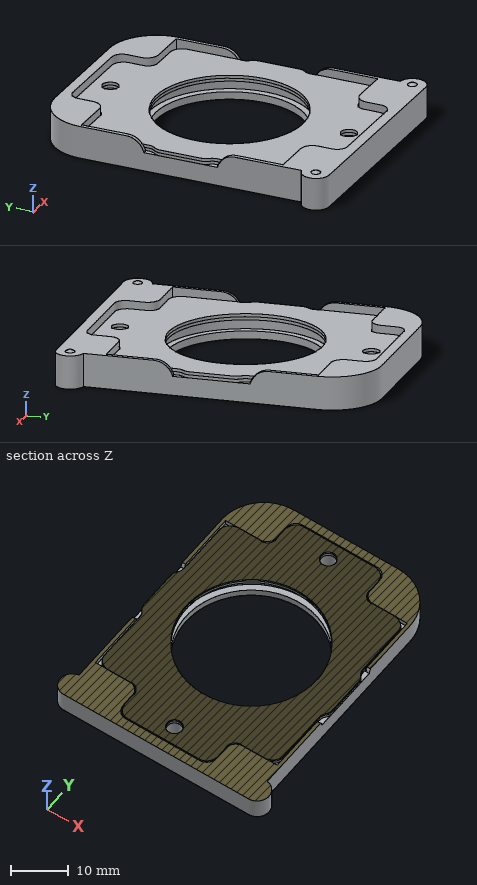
import cadquery as cq
import math

housing_width = 40.25
housing_height = 6.1
housing_length = 56.45
rear_edge_y = 28.15
front_edge_y = rear_edge_y - housing_length
rear_corner_radius = 9.0

overall_width = 44.6
lug_length = 5.15
lug_radius = 2.55
lug_x = overall_width / 2 - lug_radius
lug_y = front_edge_y + lug_length / 2
stud_radius = 0.85
stud_height = 0.35

pocket_floor_z = 3.5
pocket_width = 38.7
pocket_length = 38.5
arm_width = 19.8
pocket_reach = 52.5
pocket_end_radius = 2.0
pocket_root_radius = 2.25
root_margin = 0.3

notch_width = 20.8
notch_edge_radius = 3.5

plate_count = 2
plate_thickness = 0.55
plate_width = 38.3
plate_end_gap = 0.1
plate_end_radius = 2.25
plate_root_radius = 1.8
plate_corner_radius = 2.25
tab_width = 7.85
tab_blend_radius = 2.0

aperture_diameter = 27.9
lens_seat_diameter = 30.4
lens_seat_z = 1.45
screw_hole_diameter = 3.0
screw_hole_y = 22.8


def centred_box(width, length, bottom_z, height):
    """Box centred on the Z axis and standing on bottom_z."""
    return cq.Workplane("XY", origin=(0, 0, bottom_z)).rect(width, length).extrude(height)


def cross_prism(width, length, reach, end_radius, root_radius, bottom_z, height):
    """Rectangle with a front and a rear arm, rounded at the arm ends and where the arms join it."""
    body = centred_box(width, length, bottom_z, height)
    arms = centred_box(arm_width, reach, bottom_z, height).edges("|Z").fillet(end_radius)
    root_box = cq.selectors.BoxSelector(
        (-arm_width / 2 - root_margin, -length / 2 - root_margin, bottom_z),
        (arm_width / 2 + root_margin, length / 2 + root_margin, bottom_z + height),
    )
    return body.union(arms).edges("|Z").edges(root_box).fillet(root_radius)


def drill_holes(body):
    """Cut the aperture and the two screw holes right through a body."""
    aperture = cq.Workplane("XY").circle(aperture_diameter / 2).extrude(housing_height)
    screw_holes = (
        cq.Workplane("XY")
        .pushPoints([(0, -screw_hole_y), (0, screw_hole_y)])
        .circle(screw_hole_diameter / 2)
        .extrude(housing_height)
    )
    return body.cut(aperture).cut(screw_holes)


def cap_midpoint():
    """Point halfway along the profile of a stud cap, from its rim to its crown."""
    sphere_radius = (stud_radius**2 + stud_height**2) / (2 * stud_height)
    half_angle = math.asin(stud_radius / sphere_radius) / 2
    centre_z = stud_height - sphere_radius
    return (sphere_radius * math.sin(half_angle), centre_z + sphere_radius * math.cos(half_angle))


def make_stud(x):
    """Spherical cap on the top face of a lug."""
    return (
        cq.Workplane("XZ", origin=(x, lug_y, housing_height))
        .lineTo(stud_radius, 0)
        .threePointArc(cap_midpoint(), (0, stud_height))
        .close()
        .revolve(360, (0, 0, 0), (0, 1, 0))
    )


def make_notch():
    """Cutter across both side walls, its upper edges rolling over into the top face."""
    half_width = notch_width / 2
    arc_centre_z = housing_height - notch_edge_radius
    floor_angle = math.asin((pocket_floor_z - arc_centre_z) / notch_edge_radius)
    middle_angle = (floor_angle + math.pi / 2) / 2
    middle_y = half_width - notch_edge_radius * math.cos(middle_angle)
    middle_z = arc_centre_z + notch_edge_radius * math.sin(middle_angle)
    floor_y = half_width - notch_edge_radius * math.cos(floor_angle)
    return (
        cq.Workplane("YZ")
        .moveTo(-half_width, housing_height)
        .threePointArc((-middle_y, middle_z), (-floor_y, pocket_floor_z))
        .lineTo(floor_y, pocket_floor_z)
        .threePointArc((middle_y, middle_z), (half_width, housing_height))
        .close()
        .extrude(housing_width / 2, both=True)
    )


def make_blank():
    """Solid housing outline: a block with rounded rear corners behind a wider, rounded front bar."""
    block_length = rear_edge_y - lug_y
    block = (
        centred_box(housing_width, block_length, 0, housing_height)
        .translate((0, (rear_edge_y + lug_y) / 2, 0))
        .edges("|Z and >Y")
        .fillet(rear_corner_radius)
    )
    front_bar = (
        centred_box(overall_width, lug_length, 0, housing_height)
        .translate((0, lug_y, 0))
        .edges("|Z")
        .fillet(lug_radius)
    )
    return block.union(front_bar)


def make_housing():
    block = make_blank()
    for x in (-lug_x, lug_x):
        block = block.union(make_stud(x))

    pocket_depth = housing_height - pocket_floor_z
    pocket = cross_prism(
        pocket_width,
        pocket_length,
        pocket_reach,
        pocket_end_radius,
        pocket_root_radius,
        pocket_floor_z,
        pocket_depth,
    )
    block = block.cut(pocket)
    block = block.cut(make_notch())
    lens_seat = (
        cq.Workplane("XY", origin=(0, 0, lens_seat_z))
        .circle(lens_seat_diameter / 2)
        .extrude(pocket_floor_z - lens_seat_z)
    )
    return drill_holes(block.cut(lens_seat))


def make_side_tabs(bottom_z):
    """Strip across the plate whose two ends are tabs that run into the plate sides in S-curves."""
    tab_x = housing_width / 2
    root_x = plate_width / 2
    blend_angle = math.acos(1 - (tab_x - root_x) / (2 * tab_blend_radius))
    half_tab = tab_width / 2
    blend_step_y = tab_blend_radius * math.sin(blend_angle)
    half_step_y = tab_blend_radius * math.sin(blend_angle / 2)
    half_step_x = tab_blend_radius * (1 - math.cos(blend_angle / 2))
    middle_x = (tab_x + root_x) / 2
    root_y = half_tab + 2 * blend_step_y
    strip = (
        cq.Workplane("XY", origin=(0, 0, bottom_z))
        .moveTo(0, -root_y)
        .lineTo(root_x, -root_y)
        .threePointArc((root_x + half_step_x, -root_y + half_step_y), (middle_x, -half_tab - blend_step_y))
        .threePointArc((tab_x - half_step_x, -half_tab - half_step_y), (tab_x, -half_tab))
        .lineTo(tab_x, half_tab)
        .threePointArc((tab_x - half_step_x, half_tab + half_step_y), (middle_x, half_tab + blend_step_y))
        .threePointArc((root_x + half_step_x, root_y - half_step_y), (root_x, root_y))
        .lineTo(0, root_y)
        .close()
        .extrude(plate_thickness)
    )
    return strip.union(strip.mirror("YZ"))


def make_plate(bottom_z):
    plate = cross_prism(
        plate_width,
        pocket_length,
        pocket_reach - 2 * plate_end_gap,
        plate_end_radius,
        plate_root_radius,
        bottom_z,
        plate_thickness,
    )
    plate = plate.edges("|Z and (<X or >X)").fillet(plate_corner_radius)
    return drill_holes(plate.union(make_side_tabs(bottom_z)))


housing = make_housing()
plates = [make_plate(pocket_floor_z + layer * plate_thickness) for layer in range(plate_count)]

result = cq.Compound.makeCompound([housing.val(), *[plate.val() for plate in plates]])